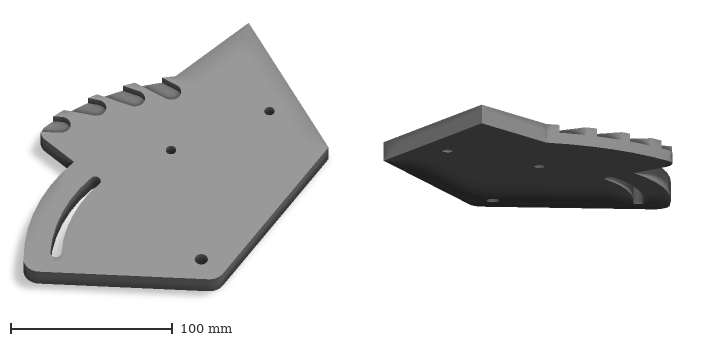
import cadquery as cq
import math

thickness = 12.0
upper_flank_distance = 17.3
lower_flank_distance = 15.5
top_edge_y = 110.0
top_left_x = -153.2
flank_angle = 30

left_arc_radius = 145.0
left_arc_start_angle = 159.6
step_angle = 199
lower_arc_radius = 110.0
corner_fillet = 10.0

pivot_hole_diameter = 8.2
small_hole_diameter = 6.5
small_hole_x = -85.3
small_hole_heights = (22.0, 90.0)

slot_radius = 90.0
slot_width = 7.0
slot_start_angle = 200
slot_end_angle = 240

groove_width = 12.5
groove_depth = 5.0
groove_length = 52.2
first_groove_angle = 30
groove_angle_step = 10
groove_ends = ((-126.2, 42.6), (-131.7, 20.3), (-135.8, -4.4), (-133.8, -30.0))


def polar(radius, angle):
    """Point at a radius and an angle in degrees about the pivot."""
    radians = math.radians(angle)
    return radius * math.cos(radians), radius * math.sin(radians)


def make_plate():
    normal_x, normal_y = polar(1, flank_angle)
    top_right_x = (upper_flank_distance - normal_y * top_edge_y) / normal_x
    apex = (
        (upper_flank_distance + lower_flank_distance) / (2 * normal_x),
        (upper_flank_distance - lower_flank_distance) / (2 * normal_y),
    )

    tip_angle = -flank_angle - math.degrees(math.acos(lower_flank_distance / lower_arc_radius))
    tip = polar(lower_arc_radius, tip_angle)
    lower_arc_middle = polar(lower_arc_radius, (step_angle + tip_angle + 360) / 2)
    left_arc_middle = polar(left_arc_radius, (left_arc_start_angle + step_angle) / 2)
    left_tip = polar(left_arc_radius, step_angle)

    plate = (
        cq.Workplane("XY")
        .moveTo(top_left_x, top_edge_y)
        .lineTo(top_right_x, top_edge_y)
        .lineTo(*apex)
        .lineTo(*tip)
        .threePointArc(lower_arc_middle, polar(lower_arc_radius, step_angle))
        .lineTo(*left_tip)
        .threePointArc(left_arc_middle, polar(left_arc_radius, left_arc_start_angle))
        .close()
        .extrude(thickness)
    )
    for corner in (apex, tip, left_tip):
        edge = cq.selectors.NearestToPointSelector((*corner, thickness / 2))
        plate = plate.edges("|Z").edges(edge).fillet(corner_fillet)
    return plate


def cylinder(x, y, diameter):
    return cq.Workplane("XY").center(x, y).circle(diameter / 2).extrude(thickness)


def make_arc_slot():
    inner = slot_radius - slot_width / 2
    outer = slot_radius + slot_width / 2
    middle_angle = (slot_start_angle + slot_end_angle) / 2
    slot = (
        cq.Workplane("XY")
        .moveTo(*polar(inner, slot_start_angle))
        .threePointArc(polar(inner, middle_angle), polar(inner, slot_end_angle))
        .lineTo(*polar(outer, slot_end_angle))
        .threePointArc(polar(outer, middle_angle), polar(outer, slot_start_angle))
        .close()
        .extrude(thickness)
    )
    for angle in (slot_start_angle, slot_end_angle):
        slot = slot.union(cylinder(*polar(slot_radius, angle), slot_width))
    return slot


def make_groove(end, angle):
    """Blind groove with a round inner end, running down and left at the given angle."""
    groove = (
        cq.Workplane("XY")
        .center(-groove_length / 2, 0)
        .slot2D(groove_length + groove_width, groove_width)
        .extrude(groove_depth)
    )
    groove = groove.rotate((0, 0, 0), (0, 0, 1), angle)
    return groove.translate((*end, thickness - groove_depth))


result = make_plate().cut(cylinder(0, 0, pivot_hole_diameter))
for hole_y in small_hole_heights:
    result = result.cut(cylinder(small_hole_x, hole_y, small_hole_diameter))
result = result.cut(make_arc_slot())
for index, groove_end in enumerate(groove_ends):
    result = result.cut(make_groove(groove_end, first_groove_angle + index * groove_angle_step))